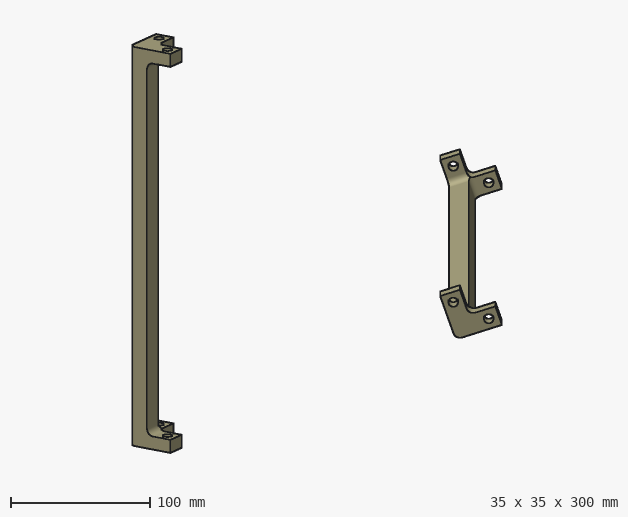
import cadquery as cq

length = 300.0
leg = 35.0
thickness = 15.0
end_height = 10.0
outer_radius = 5.0
inner_radius = 5.0
post_fillet = 5.0
hole_diameter = 7.0
hole_center = leg - thickness / 2


def l_bar():
    """Full-length L section with rounded outer and inner corners."""
    outline = [
        (0, 0),
        (leg, 0),
        (leg, thickness),
        (thickness, thickness),
        (thickness, leg),
        (0, leg),
    ]
    bar = cq.Workplane("XY").polyline(outline).close().extrude(length)
    bar = bar.edges(cq.NearestToPointSelector((0, 0, length / 2))).fillet(outer_radius)
    inner_corner = cq.NearestToPointSelector((thickness, thickness, length / 2))
    return bar.edges(inner_corner).fillet(inner_radius)


def leg_gap():
    """Material removed from the X leg between the two ends, leaving the post."""
    return (
        cq.Workplane("XY")
        .box(leg, leg, length - 2 * end_height, centered=False)
        .translate((thickness, 0, end_height))
        .edges("|Y and <X")
        .fillet(post_fillet)
    )


x_gap = leg_gap()
y_gap = x_gap.mirror("YZ").rotate((0, 0, 0), (0, 0, 1), -90)
hole_points = [(hole_center, thickness / 2), (thickness / 2, hole_center)]
holes = cq.Workplane("XY").pushPoints(hole_points).circle(hole_diameter / 2).extrude(length)

result = l_bar().cut(x_gap).cut(y_gap).cut(holes)